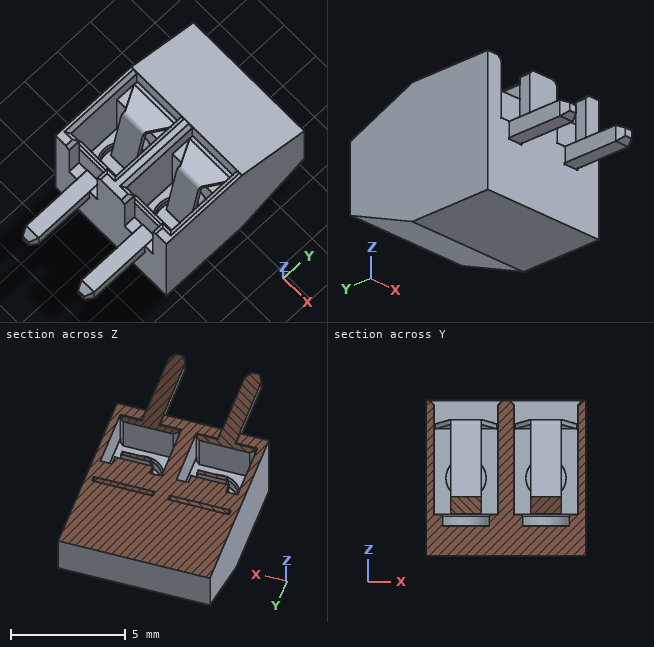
import cadquery as cq
import math


way_count = 2
pitch = 3.502
housing_width = way_count * pitch
housing_height = 6.8
housing_depth = 8.4
mid_height = housing_height / 2
shoulder_y = 4.6
rear_taper_drop = 1.59

cell_width = 2.8
cell_front_y = 0.61
cell_floor_z = 1.81
rim_chamfer = 0.2
slot_width = 1.78
ledge_top_z = housing_height - 1.25
ledge_front_y = 3.4
ledge_rear_y = 4.39
screw_radius = 0.88
screw_end_y = 2.98
wire_hole_y = 2.34
wire_hole_radius = 1.01
wire_hole_depth = 0.5
wire_hole_chamfer = 0.08

pin_side = 0.8
pin_length = 3.5
pin_tip_length = 0.4
pin_tip_side = pin_side / 2
pin_top_z = mid_height + pin_side / 2
pin_hole_extra = 0.07
plate_width = 2.7
plate_front_y = 0.63
plate_rear_y = 0.96
plate_chamfer = 0.19

guard_thickness = 0.21
guard_tilt = math.radians(9)
guard_rear_width = plate_width
tongue_width = 1.34
guard_rear_y = ledge_rear_y + guard_thickness
rear_bevel_drop = 0.12
nose_size = 0.23
nose_bulge = 0.06
nose_rear_y = 3.17
tongue_end_y = 2.33

way_centers = [(way - (way_count - 1) / 2) * pitch for way in range(way_count)]


def box(width, y_range, z_range):
    """Box centred on X = 0 between two Y and two Z positions."""
    (y_min, y_max), (z_min, z_max) = y_range, z_range
    return (
        cq.Workplane("XY")
        .box(width, y_max - y_min, z_max - z_min, centered=(True, False, False))
        .translate((0, y_min, z_min))
    )


def housing_block():
    """Outer shape with both rear edges tapered."""
    outline = [
        (0, 0),
        (shoulder_y, 0),
        (housing_depth, rear_taper_drop),
        (housing_depth, housing_height - rear_taper_drop),
        (shoulder_y, housing_height),
        (0, housing_height),
    ]
    profile = cq.Workplane("YZ").polyline(outline).close()
    return profile.extrude(housing_width / 2, both=True)


def bevelled_rim(width, y_front, y_rear):
    """Wedge that bevels the top side edges and the top front edge of a cavity."""
    z_low = housing_height - rim_chamfer
    half_width = width / 2
    cross_section = [
        (-half_width, z_low),
        (half_width, z_low),
        (half_width + rim_chamfer, housing_height),
        (-half_width - rim_chamfer, housing_height),
    ]
    side_outline = [
        (y_front, z_low),
        (y_rear, z_low),
        (y_rear, housing_height),
        (y_front - rim_chamfer, housing_height),
    ]
    wedge = (
        cq.Workplane("XZ", origin=(0, y_rear, 0))
        .polyline(cross_section).close()
        .extrude(y_rear - y_front + rim_chamfer)
    )
    side_profile = cq.Workplane("YZ").polyline(side_outline).close()
    return wedge.intersect(side_profile.extrude(width, both=True))


def cell_cavity():
    """Cell with a front slot, both with a bevelled rim, and the pin hole in the slot floor."""
    cell = box(cell_width, (cell_front_y, shoulder_y), (cell_floor_z, housing_height))
    slot = box(slot_width, (0, cell_front_y), (pin_top_z, housing_height))
    cell_rim = bevelled_rim(cell_width, cell_front_y, shoulder_y)
    slot_rim = bevelled_rim(slot_width, 0, cell_front_y)
    hole_bottom_z = pin_top_z - pin_side - pin_hole_extra
    pin_hole = box(pin_side, (0, cell_front_y), (hole_bottom_z, pin_top_z))
    return cell.union(slot).union(cell_rim).union(slot_rim).union(pin_hole)


def ledge_with_screw():
    """Ledge across the cell with the round screw end standing out of its front."""
    ledge = box(cell_width, (ledge_front_y, ledge_rear_y), (cell_floor_z, ledge_top_z))
    screw = (
        cq.Workplane("XZ", origin=(0, ledge_front_y, mid_height))
        .circle(screw_radius)
        .extrude(ledge_front_y - screw_end_y)
    )
    return ledge.union(screw)


def wire_hole():
    """Blind hole in the cell floor with a countersunk mouth."""
    hole = (
        cq.Workplane("XY", origin=(0, wire_hole_y, cell_floor_z - wire_hole_depth))
        .circle(wire_hole_radius)
        .extrude(wire_hole_depth)
    )
    mouth = cq.Workplane(
        cq.Solid.makeCone(
            wire_hole_radius,
            wire_hole_radius + wire_hole_chamfer,
            wire_hole_chamfer,
            cq.Vector(0, wire_hole_y, cell_floor_z - wire_hole_chamfer),
        )
    )
    return hole.union(mouth)


def make_housing():
    body = housing_block()
    for x in way_centers:
        body = body.cut(cell_cavity().translate((x, 0, 0)))
        body = body.cut(wire_hole().translate((x, 0, 0)))
        body = body.union(ledge_with_screw().translate((x, 0, 0)))
    return body


def make_contact():
    """Upright plate at the front of the cell with a square pin that tapers at its tip."""
    plate = (
        box(plate_width, (plate_front_y, plate_rear_y), (cell_floor_z, ledge_top_z))
        .edges("|Z and >Y").chamfer(plate_chamfer)
        .faces(">Z").edges(">Y").chamfer(plate_chamfer)
    )
    shank_end_y = pin_tip_length - pin_length
    shank = box(pin_side, (shank_end_y, plate_front_y), (pin_top_z - pin_side, pin_top_z))
    tip = (
        cq.Workplane("XZ", origin=(0, shank_end_y, mid_height))
        .rect(pin_side, pin_side)
        .workplane(offset=pin_tip_length)
        .rect(pin_tip_side, pin_tip_side)
        .loft()
    )
    return plate.union(shank).union(tip)


def make_guard():
    """Bent strip: rear leg behind the ledge, rising roof, rounded nose, steep tongue."""
    slope = math.tan(guard_tilt)
    vertical_thickness = guard_thickness / math.cos(guard_tilt)

    roof_rear_z = ledge_top_z + vertical_thickness
    nose_top_z = roof_rear_z + (ledge_rear_y - nose_rear_y) * slope
    nose_front_y = nose_rear_y - nose_size
    nose_low_z = nose_top_z - nose_size
    tongue_end_z = nose_low_z - (nose_front_y - tongue_end_y) / slope
    arc_shift = nose_size / 2 - nose_bulge * math.sqrt(0.5)

    tongue_back_y = tongue_end_y + vertical_thickness
    height_above_end = ledge_top_z + (ledge_rear_y - tongue_back_y) * slope - tongue_end_z
    inner_run = height_above_end / (slope + 1 / slope)
    inner_corner = (tongue_back_y + inner_run, tongue_end_z + inner_run / slope)

    section = (
        cq.Workplane("YZ")
        .moveTo(guard_rear_y, cell_floor_z)
        .lineTo(guard_rear_y, roof_rear_z - rear_bevel_drop)
        .lineTo(ledge_rear_y, roof_rear_z)
        .lineTo(nose_rear_y, nose_top_z)
        .threePointArc((nose_front_y + arc_shift, nose_top_z - arc_shift), (nose_front_y, nose_low_z))
        .lineTo(tongue_end_y, tongue_end_z)
        .lineTo(tongue_back_y, tongue_end_z)
        .lineTo(*inner_corner)
        .lineTo(ledge_rear_y, ledge_top_z)
        .lineTo(ledge_rear_y, cell_floor_z)
        .close()
        .extrude(guard_rear_width, both=True)
    )
    plan = [
        (guard_rear_width / 2, guard_rear_y),
        (guard_rear_width / 2, ledge_rear_y),
        (tongue_width / 2, nose_rear_y),
        (tongue_width / 2, tongue_end_y),
    ]
    mirrored_plan = [(-x, y) for x, y in reversed(plan)]
    outline = cq.Workplane("XY").polyline(plan + mirrored_plan).close().extrude(housing_height)
    return section.intersect(outline)


housing = make_housing()
contacts = [make_contact().translate((x, 0, 0)) for x in way_centers]
guards = [make_guard().translate((x, 0, 0)) for x in way_centers]

bodies = [housing] + contacts + guards
result = cq.Compound.makeCompound([body.solids().val() for body in bodies])